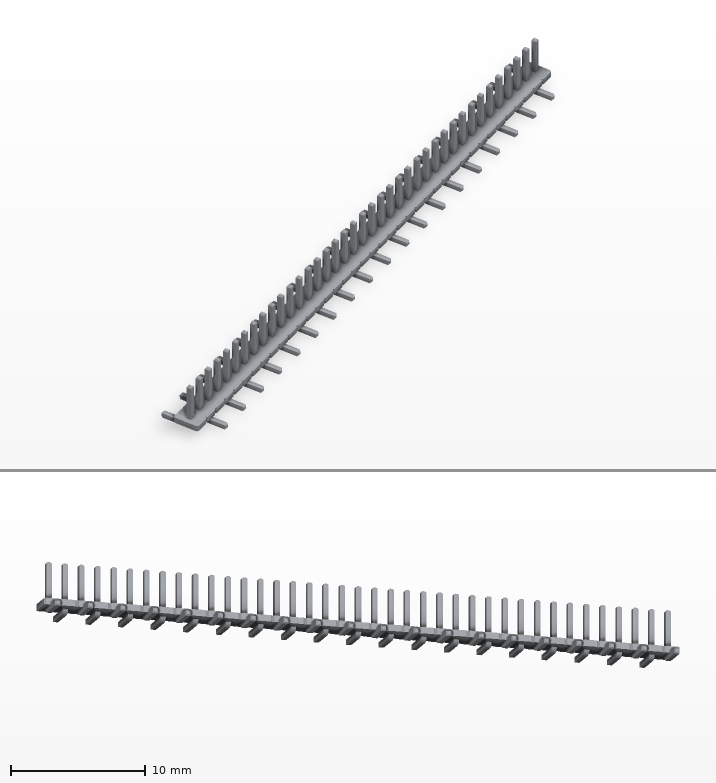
import cadquery as cq

PIN_COUNT = 39
STRIP_LENGTH = 49.55
PITCH = STRIP_LENGTH / PIN_COUNT

BODY_WIDTH = 2.2
BODY_HEIGHT = 0.5
CORNER_CHAMFER = PITCH / 10

WIRE = 0.4
BEND_RADIUS = WIRE
TIP_CHAMFER = WIRE / 4
TOTAL_HEIGHT = 3.9
LEG_SPAN = 4.9

BODY_BOTTOM = WIRE
LEG_REACH = LEG_SPAN / 2


def make_body():
    """Long bar outlined cell by cell; the corner chamfers of neighbours meet in V-notches."""
    half_width = BODY_WIDTH / 2
    notch_half_width = half_width - CORNER_CHAMFER
    right_side = []
    for index in range(PIN_COUNT):
        start = index * PITCH - STRIP_LENGTH / 2
        end = start + PITCH
        right_side.append((notch_half_width, start))
        right_side.append((half_width, start + CORNER_CHAMFER))
        right_side.append((half_width, end - CORNER_CHAMFER))
    right_side.append((notch_half_width, STRIP_LENGTH / 2))
    left_side = [(-x, y) for x, y in reversed(right_side)]
    return (
        cq.Workplane("XY", origin=(0, 0, BODY_BOTTOM))
        .polyline(right_side + left_side)
        .close()
        .extrude(BODY_HEIGHT)
    )


def make_pin():
    """Pin centred on the origin, with its leg pointing to -X."""
    upright = cq.Workplane("XY").box(WIRE, WIRE, TOTAL_HEIGHT, centered=(True, True, False))
    upright = upright.faces(">Z").chamfer(TIP_CHAMFER)
    leg_length = LEG_REACH + WIRE / 2
    leg = (
        cq.Workplane("XY")
        .box(leg_length, WIRE, WIRE, centered=(False, True, False))
        .translate((-LEG_REACH, 0, 0))
        .faces("<X")
        .chamfer(TIP_CHAMFER)
    )
    pin = upright.union(leg)
    return pin.faces("<Z").edges(">X").fillet(BEND_RADIUS)


left_pin = make_pin()
right_pin = left_pin.rotate((0, 0, 0), (0, 0, 1), 180)

pins = []
for index in range(PIN_COUNT):
    y = (index - (PIN_COUNT - 1) / 2) * PITCH
    pin = left_pin if index % 2 == 0 else right_pin
    pins.append(pin.translate((0, y, 0)).val())

body = make_body().val()
result = cq.Workplane("XY").newObject([body.fuse(*pins)])